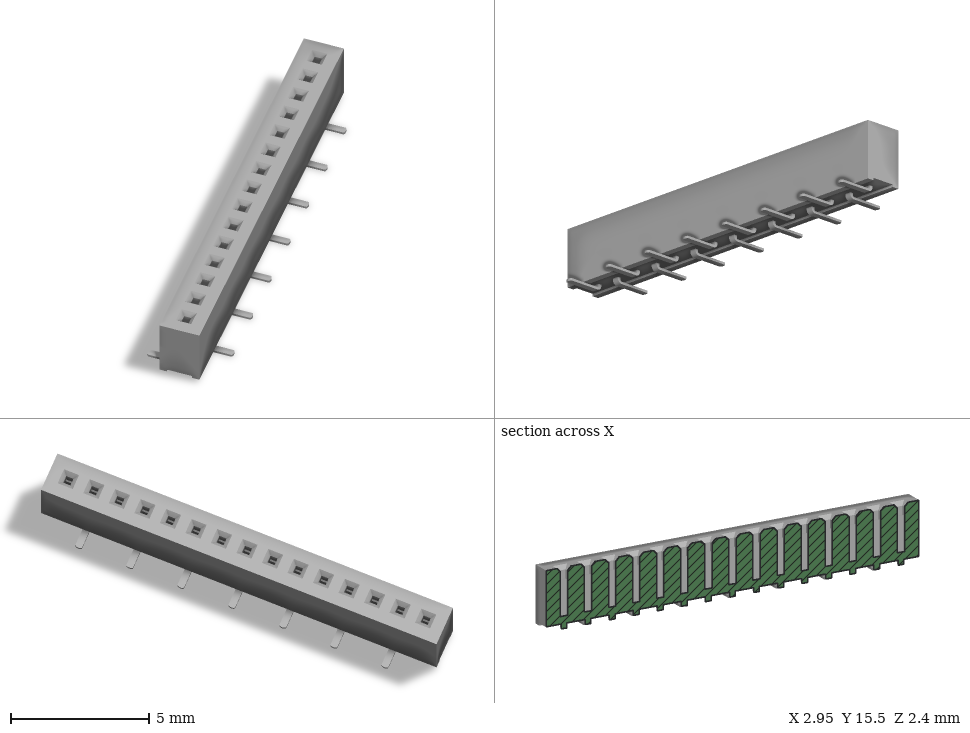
import cadquery as cq


body_length = 15.5
body_width = 1.53
total_height = 2.4
standoff = 0.14
channel_width = 0.98
channel_depth = 0.1

contact_count = 15
pitch = 1.0

mouth_size = 0.59
bore_size = 0.28
lead_in_depth = 0.15
bore_depth = 0.5
arm_gap = 0.14
arm_gap_depth = 1.86

tail_span = 2.95
tail_width = 0.26
tail_thickness = 0.1
stem_width = 0.14
outer_bend_radius = 0.19
inner_bend_radius = 0.05
tip_bulge = 0.05

channel_roof = standoff + channel_depth
contact_places = [
    (index - (contact_count - 1) / 2) * pitch for index in range(contact_count)
]


def make_housing():
    """Rectangular bar with a shallow channel along its underside."""
    body_height = total_height - standoff
    housing = (
        cq.Workplane("XY")
        .workplane(offset=standoff)
        .rect(body_width, body_length)
        .extrude(body_height)
    )
    channel = (
        cq.Workplane("XY")
        .workplane(offset=standoff)
        .rect(channel_width, body_length)
        .extrude(channel_depth)
    )
    return housing.cut(channel)


def make_socket_cutter():
    """Pyramidal lead-in, square bore and the narrow gap between the contact arms."""
    top = cq.Workplane("XY").workplane(offset=total_height)
    lead_in = (
        top.rect(mouth_size, mouth_size)
        .workplane(offset=-lead_in_depth)
        .rect(bore_size, bore_size)
        .loft(ruled=True)
    )
    bore = top.rect(bore_size, bore_size).extrude(-bore_depth)
    gap = top.rect(arm_gap, bore_size).extrude(-arm_gap_depth)
    return lead_in.union(bore).union(gap)


def make_left_contact():
    """L-shaped contact: a stem under the housing bent into an arch-tipped tail toward -X."""
    stem_side = stem_width / 2
    tail_tip = -tail_span / 2
    contact = (
        cq.Workplane("XZ")
        .moveTo(tail_tip, 0)
        .lineTo(stem_side - outer_bend_radius, 0)
        .radiusArc((stem_side, outer_bend_radius), -outer_bend_radius)
        .lineTo(stem_side, channel_roof)
        .lineTo(-stem_side, channel_roof)
        .lineTo(-stem_side, tail_thickness + inner_bend_radius)
        .radiusArc((-stem_side - inner_bend_radius, tail_thickness), inner_bend_radius)
        .lineTo(tail_tip, tail_thickness)
        .close()
        .extrude(tail_width / 2, both=True)
    )
    half_width = tail_width / 2
    tip_corner = tail_tip + tip_bulge
    arched_outline = (
        cq.Workplane("XY")
        .moveTo(stem_side, -half_width)
        .lineTo(tip_corner, -half_width)
        .threePointArc((tail_tip, 0), (tip_corner, half_width))
        .lineTo(stem_side, half_width)
        .close()
        .extrude(channel_roof)
    )
    return contact.intersect(arched_outline)


socket_cutter = make_socket_cutter()
left_contact = make_left_contact()
right_contact = left_contact.mirror("YZ")

result = make_housing()
for index, place in enumerate(contact_places):
    contact = left_contact if index % 2 == 0 else right_contact
    result = result.cut(socket_cutter.translate((0, place, 0)))
    result = result.union(contact.translate((0, place, 0)))